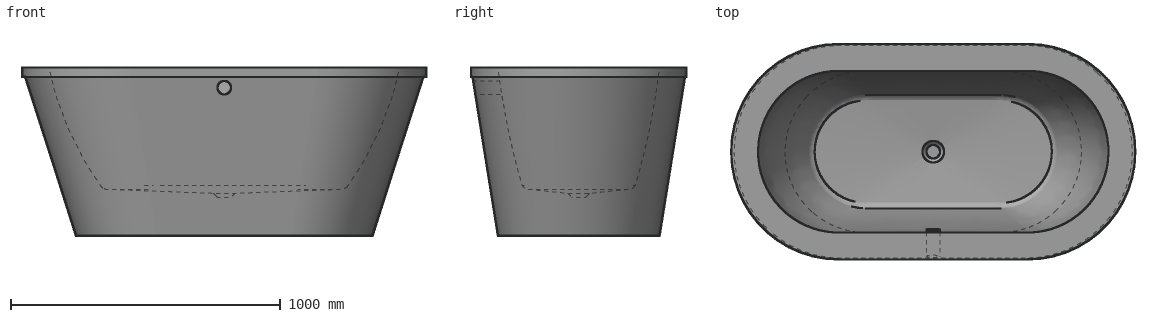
import cadquery as cq
import math

length = 1500.0
width = 800.0
height = 625.0
rim_height = 35.0
rim_width = 100.0

foot_length = 1100.0
foot_width = 600.0

floor_length = 880.0
floor_width = 380.0
floor_edge_height = 173.0
floor_fall = 15.0

toe_offset = 13.0
toe_rise = 6.0
shoulder_offset = 20.0
shoulder_rise = 15.0

knee_length = 1072.0
knee_width = 486.0
knee_height = 310.0

drain_diameter = 80.0
drain_throat_diameter = 50.0
drain_depth = 15.0
overflow_diameter = 50.0
overflow_height = 550.0


def oval(oval_length, oval_width, z):
    """Closed outline at height z with straight sides and semicircular ends."""
    radius = oval_width / 2
    half_straight = oval_length / 2 - radius
    return (
        cq.Workplane("XY", origin=(0, 0, z))
        .moveTo(-half_straight, -radius)
        .lineTo(half_straight, -radius)
        .threePointArc((oval_length / 2, 0), (half_straight, radius))
        .lineTo(-half_straight, radius)
        .threePointArc((-oval_length / 2, 0), (-half_straight, -radius))
        .close()
        .val()
    )


def floor_oval(offset, rise):
    """Floor outline offset outward and raised above the floor edge."""
    return oval(floor_length + 2 * offset, floor_width + 2 * offset, floor_edge_height + rise)


def four_arc_circle(diameter, z):
    """Circle in four arcs that face the sides and ends of the floor."""
    radius = diameter / 2
    corner_angle = math.atan2(floor_width, floor_length - floor_width)
    x = radius * math.cos(corner_angle)
    y = radius * math.sin(corner_angle)
    return (
        cq.Workplane("XY", origin=(0, 0, z))
        .moveTo(-x, -y)
        .threePointArc((0, -radius), (x, -y))
        .threePointArc((radius, 0), (x, y))
        .threePointArc((0, radius), (-x, y))
        .threePointArc((-radius, 0), (-x, -y))
        .close()
        .val()
    )


def loft(outlines, ruled):
    return cq.Workplane(cq.Solid.makeLoft(outlines, ruled))


def make_skirt():
    skirt_height = height - rim_height
    taper_share = skirt_height / height
    top_length = foot_length + (length - foot_length) * taper_share
    top_width = foot_width + (width - foot_width) * taper_share
    foot = oval(foot_length, foot_width, 0)
    top = oval(top_length, top_width, skirt_height)
    return loft([foot, top], ruled=True)


def make_rim():
    outline = oval(length, width, height - rim_height)
    return cq.Workplane(cq.Solid.extrudeLinear(outline, [], cq.Vector(0, 0, rim_height)))


def make_basin():
    """Hollow of the tub: curved wall, rounded foot of the wall and sloping floor."""
    mouth = oval(length - 2 * rim_width, width - 2 * rim_width, height)
    knee = oval(knee_length, knee_width, knee_height)
    shoulder = floor_oval(shoulder_offset, shoulder_rise)
    toe = floor_oval(toe_offset, toe_rise)
    floor_edge = floor_oval(0, 0)
    drain_edge = four_arc_circle(drain_diameter, floor_edge_height - floor_fall)

    wall = loft([shoulder, knee, mouth], ruled=False)
    rounding = loft([floor_edge, toe, shoulder], ruled=False)
    floor = loft([drain_edge, floor_edge], ruled=True)
    return wall.union(rounding).union(floor)


def make_drain():
    """Blind conical recess at the low point of the floor."""
    drain_top = floor_edge_height - floor_fall
    throat = four_arc_circle(drain_throat_diameter, drain_top - drain_depth)
    edge = four_arc_circle(drain_diameter, drain_top)
    return loft([throat, edge], ruled=True)


def make_overflow():
    """Round hole through the wall on the -Y side only."""
    return (
        cq.Workplane("XZ", origin=(0, 0, overflow_height))
        .circle(overflow_diameter / 2)
        .extrude(width / 2)
    )


body = make_skirt().union(make_rim())
hollow = make_basin().union(make_drain())
result = body.cut(hollow).cut(make_overflow())